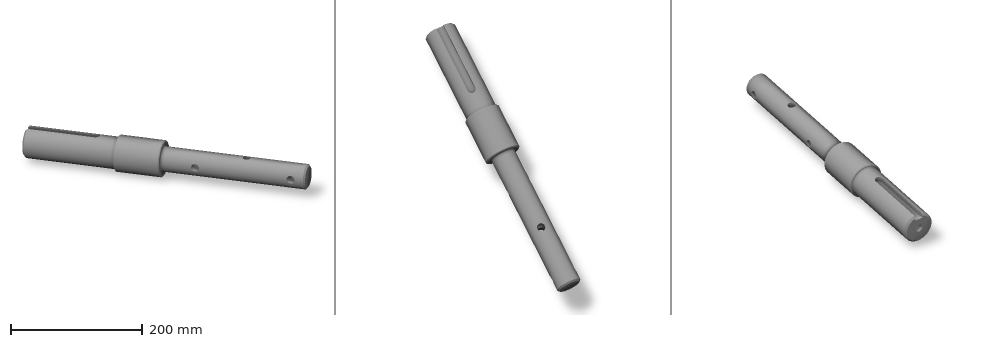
import cadquery as cq

total_length = 449.5
journal_length = 146.0
journal_diameter = 50.0
collar_length = 73.5
collar_diameter = 57.0
spindle_diameter = 39.0
spindle_length = total_length - journal_length - collar_length
collar_end = journal_length + collar_length

journal_end_chamfer = 3.0
spindle_end_chamfer = 2.5
collar_chamfer = 1.5
journal_fillet = 1.5
spindle_fillet = 2.2

key_width = 12.5
key_end = 117.0
key_floor = 17.0

pin_hole_diameter = 12.5
inner_pin_x = 274.5
outer_pin_x = 427.0
vertical_hole_x = 351.5
bore_diameter = 12.0


def cylinder(start, length, diameter):
    """Solid cylinder on the shaft axis."""
    return cq.Workplane("YZ", origin=(start, 0, 0)).circle(diameter / 2).extrude(length)


def cross_hole(plane, x):
    """Cutter through the whole shaft, normal to the given plane."""
    cutter = cq.Workplane(plane, origin=(x, 0, 0)).circle(pin_hole_diameter / 2)
    return cutter.extrude(collar_diameter, both=True)


def shoulder_fillet(body, x, diameter, radius):
    """Round the inside corner where a smaller diameter meets the collar."""
    reach = diameter / 2 + radius / 2
    corner = cq.selectors.BoxSelector(
        (x - radius / 2, -reach, -reach), (x + radius / 2, reach, reach), boundingbox=True
    )
    return body.edges(corner).fillet(radius)


journal = cylinder(0, journal_length, journal_diameter).faces("<X").chamfer(journal_end_chamfer)
collar = cylinder(journal_length, collar_length, collar_diameter).faces("<X or >X").chamfer(collar_chamfer)
spindle = cylinder(collar_end, spindle_length, spindle_diameter).faces(">X").chamfer(spindle_end_chamfer)
result = journal.union(collar).union(spindle)
result = shoulder_fillet(result, journal_length, journal_diameter, journal_fillet)
result = shoulder_fillet(result, collar_end, spindle_diameter, spindle_fillet)

key_radius = key_width / 2
key_straight = key_end - key_radius
keyway = (
    cq.Workplane("XY", origin=(0, 0, key_floor))
    .moveTo(0, -key_radius)
    .lineTo(key_straight, -key_radius)
    .threePointArc((key_end, 0), (key_straight, key_radius))
    .lineTo(0, key_radius)
    .close()
    .extrude(journal_diameter)
)
result = result.cut(keyway)

for pin_x in (inner_pin_x, outer_pin_x):
    result = result.cut(cross_hole("XZ", pin_x))
result = result.cut(cross_hole("XY", vertical_hole_x))

result = result.cut(cylinder(0, vertical_hole_x, bore_diameter))